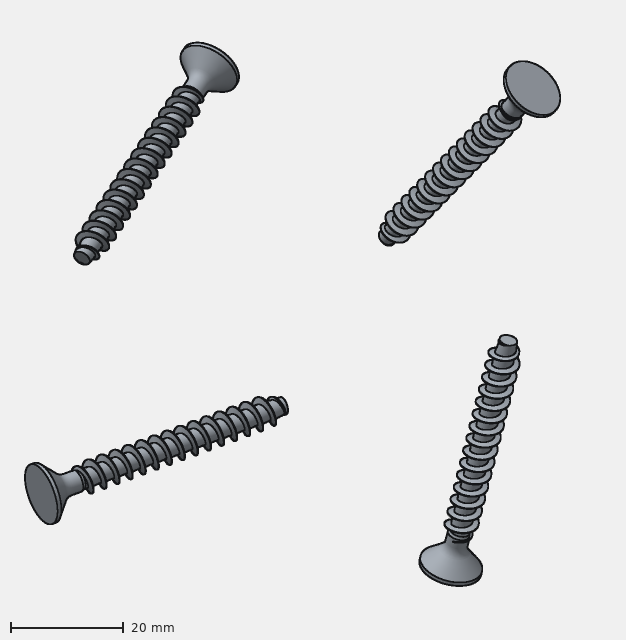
import cadquery as cq
import math


screw_length = 50.0
head_radius = 5.65
head_rim_height = 0.8
head_flank_angle = 45.0
neck_fillet_radius = 2.5

shank_radius = 2.05
shank_end_depth = 7.45
collar_length = 0.7
collar_overlap = 0.7

core_radius = 1.75
core_step = 0.1
tip_radius = 1.55

crest_radius = 3.0
crest_width = 0.15
root_width = 0.75
faded_root_width = 0.3
full_turns = 14
full_thread_length = 37.7
pitch = full_thread_length / full_turns
full_thread_bottom = 3.35
full_thread_top = full_thread_bottom + full_thread_length
points_per_turn = 24


def make_head():
    """Solid of revolution: countersunk head, filleted neck, shank and collar."""
    rim_bottom = screw_length - head_rim_height
    flank_angle = math.radians(head_flank_angle)
    corner_height = rim_bottom - (head_radius - shank_radius) / math.tan(flank_angle)
    tangent_length = neck_fillet_radius * math.tan(flank_angle / 2)
    fillet_bottom = corner_height - tangent_length
    fillet_middle = (
        shank_radius + neck_fillet_radius * (1 - math.cos(flank_angle / 2)),
        fillet_bottom + neck_fillet_radius * math.sin(flank_angle / 2),
    )
    fillet_top = (
        shank_radius + tangent_length * math.sin(flank_angle),
        corner_height + tangent_length * math.cos(flank_angle),
    )
    shank_bottom = screw_length - shank_end_depth
    collar_slope = (shank_radius - core_radius) / collar_length
    collar_bottom = shank_bottom - collar_length - collar_overlap
    profile = (
        cq.Workplane("XZ")
        .moveTo(0, collar_bottom)
        .lineTo(core_radius - collar_overlap * collar_slope, collar_bottom)
        .lineTo(shank_radius, shank_bottom)
        .lineTo(shank_radius, fillet_bottom)
        .threePointArc(fillet_middle, fillet_top)
        .lineTo(head_radius, rim_bottom)
        .lineTo(head_radius, screw_length)
        .lineTo(0, screw_length)
        .close()
    )
    return profile.revolve(360, (0, 0, 0), (0, 1, 0))


def thread_fullness(height):
    """1 along the full thread, falling evenly to 0 over one pitch beyond each end."""
    outside = max(full_thread_bottom - height, height - full_thread_top, 0)
    return max(0, 1 - outside / pitch)


def section_corners(height):
    """(radius, height) of the thread corners, top to bottom, for the turn centred at this height."""
    tip_share = max(0, 1 - height / full_thread_bottom)
    core = core_radius - (core_radius - tip_radius) * tip_share
    thick_core = core + core_step
    fullness = thread_fullness(height)
    crest = thick_core + (crest_radius - thick_core) * fullness
    half_root = (faded_root_width + (root_width - faded_root_width) * fullness) / 2
    return [
        (core, height + half_root),
        (crest, height + crest_width / 2),
        (crest, height - crest_width / 2),
        (thick_core, height - half_root),
    ]


def turn_edges(turn):
    """One-turn helical edges from +X round to +X, one for each corner of the thread section.

    The full thread begins and ends on the -X side, half way round a turn.
    """
    corner_points = [[], [], [], []]
    for step in range(points_per_turn + 1):
        fraction = step / points_per_turn
        angle = 2 * math.pi * fraction
        corners = section_corners(full_thread_bottom + (turn - 0.5 + fraction) * pitch)
        for points, (radius, height) in zip(corner_points, corners):
            points.append(cq.Vector(radius * math.cos(angle), radius * math.sin(angle), height))
    return [cq.Edge.makeSpline(points) for points in corner_points]


def end_faces(lower_helix, section_edges, upper_helix, at_top):
    """Close one end of the rod: a helicoid out to the axis and a flat step along one pitch."""
    helix = upper_helix if at_top else lower_helix
    start, end = helix.positionAt(0), helix.positionAt(1)
    axis = cq.Edge.makeLine(cq.Vector(0, 0, start.z), cq.Vector(0, 0, end.z))
    side = 1 if at_top else 0
    profile = [edge.positionAt(side) for edge in [upper_helix] + section_edges + [lower_helix]]
    outline = profile + [cq.Vector(0, 0, profile[-1].z), cq.Vector(0, 0, profile[0].z)]
    step = cq.Face.makeFromWires(cq.Wire.makePolygon(outline, close=True))
    return [cq.Face.makeRuledSurface(helix, axis), step]


def make_threaded_rod():
    """Core and thread as one closed skin of helical strips, cut flat at the tip."""
    first_turn = -1
    last_turn = full_turns + 1
    faces = []
    below = turn_edges(first_turn - 1)[0]
    for turn in range(first_turn, last_turn + 1):
        edges = turn_edges(turn)
        strip = edges + [below]
        faces += [cq.Face.makeRuledSurface(a, b) for a, b in zip(strip, strip[1:])]
        if turn == first_turn:
            faces += end_faces(below, edges[1:], edges[0], at_top=False)
        if turn == last_turn:
            faces += end_faces(below, edges[1:], edges[0], at_top=True)
        below = edges[0]
    rod = cq.Workplane(cq.Solid.makeSolid(cq.Shell.makeShell(faces)))
    above_tip = cq.Workplane("XY").circle(head_radius).extrude(screw_length)
    return rod.intersect(above_tip)


screw = make_head().union(make_threaded_rod())
result = cq.Workplane(screw.rotate((0, 0, 0), (1, 0, 0), -90).solids().val())